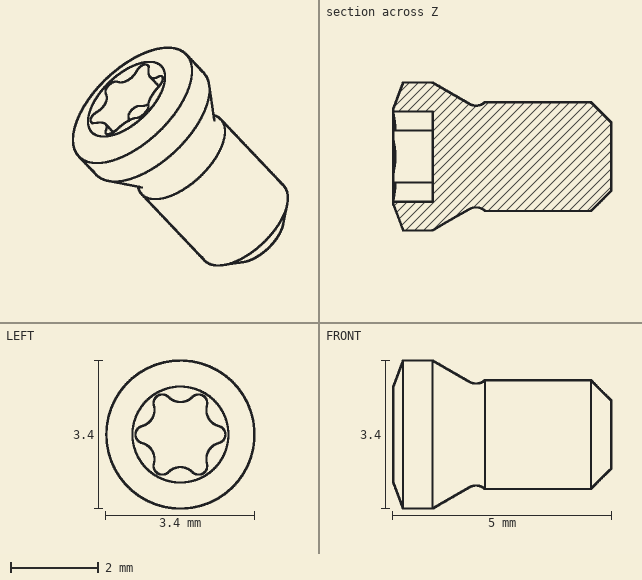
import cadquery as cq
import math

length = 5.0
head_radius = 1.7
face_radius = 1.1
face_chamfer_length = 0.225
head_rim_end = 0.9
under_head_angle = math.radians(30)
shank_radius = 1.25
tip_radius = 0.78
tip_chamfer_length = shank_radius - tip_radius

neck_radius = 1.17
groove_radius = 0.3

lobe_count = 6
lobe_tip_distance = 1.03
valley_distance = 0.745
lobe_radius = 0.2
socket_depth = 0.9
countersink_radius = 1.045
countersink_slope = math.radians(10)


def polar(distance, angle):
    return (distance * math.cos(angle), distance * math.sin(angle))


def make_body():
    cone_end_radius = neck_radius + groove_radius * (1 - math.cos(under_head_angle))
    cone_end = head_rim_end + (head_radius - cone_end_radius) / math.tan(under_head_angle)
    groove_x = cone_end + groove_radius * math.sin(under_head_angle)
    groove_center_radius = neck_radius + groove_radius
    groove_half_width = math.sqrt(groove_radius**2 - (groove_center_radius - shank_radius) ** 2)
    profile = (
        cq.Workplane("XY")
        .lineTo(0, face_radius)
        .lineTo(face_chamfer_length, head_radius)
        .lineTo(head_rim_end, head_radius)
        .lineTo(cone_end, cone_end_radius)
        .radiusArc((groove_x, neck_radius), -groove_radius)
        .radiusArc((groove_x + groove_half_width, shank_radius), -groove_radius)
        .lineTo(length - tip_chamfer_length, shank_radius)
        .lineTo(length, tip_radius)
        .lineTo(length, 0)
        .close()
    )
    return profile.revolve(360, (0, 0, 0), (1, 0, 0))


def make_socket():
    pitch = 2 * math.pi / lobe_count
    cos_half = math.cos(pitch / 2)
    lobe_center = lobe_tip_distance - lobe_radius

    valley_radius = (
        (lobe_center**2 + valley_distance**2 - 2 * lobe_center * valley_distance * cos_half - lobe_radius**2)
        / (2 * (lobe_radius + lobe_center * cos_half - valley_distance))
    )

    valley_x, valley_y = polar(valley_distance + valley_radius, pitch / 2)
    share = lobe_radius / (lobe_radius + valley_radius)
    tangent_x = lobe_center + share * (valley_x - lobe_center)
    tangent_y = share * valley_y
    tangent_distance = math.hypot(tangent_x, tangent_y)
    tangent_angle = math.atan2(tangent_y, tangent_x)

    outline = cq.Workplane("YZ").moveTo(*polar(tangent_distance, -tangent_angle))
    for index in range(lobe_count):
        angle = index * pitch
        outline = outline.threePointArc(
            polar(lobe_tip_distance, angle),
            polar(tangent_distance, angle + tangent_angle),
        )
        outline = outline.threePointArc(
            polar(valley_distance, angle + pitch / 2),
            polar(tangent_distance, angle + pitch - tangent_angle),
        )
    return outline.close().extrude(socket_depth)


def make_countersink():
    depth = countersink_radius * math.tan(countersink_slope)
    return (
        cq.Workplane("XY")
        .lineTo(0, countersink_radius)
        .lineTo(depth, 0)
        .close()
        .revolve(360, (0, 0, 0), (1, 0, 0))
    )


result = make_body().cut(make_socket()).cut(make_countersink())